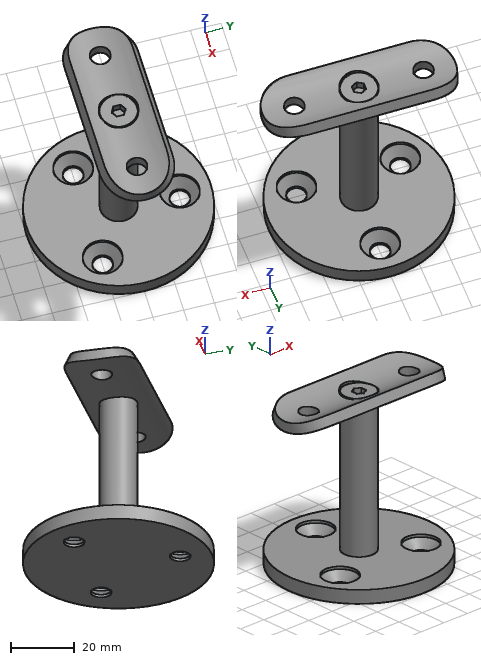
import cadquery as cq
import math

base_diameter = 60.0
base_thickness = 4.9
screw_circle_radius = 20.0
screw_hole_diameter = 6.5
screw_head_diameter = 12.55
screw_head_lip = 0.95
screw_hole_angles = (90, 210, 330)

total_height = 62.35
saddle_length = 64.0
saddle_width = 24.0
saddle_straight_length = 40.3
saddle_half_angle = 30.0
saddle_thickness = 3.6
rail_hole_spacing = 43.0
rail_hole_diameter = 6.5
half_angle = math.radians(saddle_half_angle)
outer_radius = saddle_width / 2 / math.sin(half_angle)
inner_radius = outer_radius - saddle_thickness
bend_axis_z = total_height + inner_radius * math.cos(half_angle)
saddle_floor_z = bend_axis_z - inner_radius

post_diameter = 12.0

head_diameter = 12.0
head_clearance = 0.25
head_rim_height = 0.5
shank_diameter = 6.0
shank_length = 10.25
socket_across_flats = 4.0
socket_depth = 2.55
cone_top_z = saddle_floor_z - head_clearance
head_top_z = cone_top_z + head_rim_height
cone_height = (head_diameter - shank_diameter) / 2
shank_bottom_z = cone_top_z - cone_height - shank_length


def cylinder(diameter, bottom_z, top_z):
    return cq.Workplane("XY").workplane(offset=bottom_z).circle(diameter / 2).extrude(top_z - bottom_z)


def countersink(large_diameter, small_diameter, top_z):
    """90 degree cone, narrowing downwards from top_z."""
    depth = (large_diameter - small_diameter) / 2
    cone = cq.Solid.makeCone(small_diameter / 2, large_diameter / 2, depth, pnt=cq.Vector(0, 0, top_z - depth))
    return cq.Workplane(obj=cone)


def bend_cylinder(radius):
    """Cylinder about the bend axis of the saddle."""
    return (
        cq.Workplane("YZ", origin=(-saddle_length, 0, 0))
        .center(0, bend_axis_z)
        .circle(radius)
        .extrude(2 * saddle_length)
    )


def saddle_outline(depth):
    """Rounded outline at a depth below the bend axis; its sides all point at that axis."""
    half_straight = saddle_straight_length / 2
    end_reach = (saddle_length - saddle_straight_length) / 2
    half_width = depth * math.tan(half_angle)
    z = bend_axis_z - depth
    right_end = cq.Edge.makeEllipse(
        end_reach, half_width, cq.Vector(half_straight, 0, z), angle1=-90, angle2=90
    )
    left_end = cq.Edge.makeEllipse(
        end_reach, half_width, cq.Vector(-half_straight, 0, z), angle1=90, angle2=270
    )
    back = cq.Edge.makeLine(right_end.endPoint(), left_end.startPoint())
    front = cq.Edge.makeLine(left_end.endPoint(), right_end.startPoint())
    return cq.Wire.assembleEdges([right_end, back, left_end, front])


def make_base():
    base = cylinder(base_diameter, 0, base_thickness)
    cutter = cylinder(screw_hole_diameter, 0, base_thickness)
    cutter = cutter.union(cylinder(screw_head_diameter, base_thickness - screw_head_lip, base_thickness))
    cutter = cutter.union(
        countersink(screw_head_diameter, screw_hole_diameter, base_thickness - screw_head_lip)
    )
    cutter = cutter.translate((screw_circle_radius, 0, 0))
    for angle in screw_hole_angles:
        base = base.cut(cutter.rotate((0, 0, 0), (0, 0, 1), angle))
    return base


def make_saddle():
    wedge = cq.Solid.makeLoft([saddle_outline(outer_radius), saddle_outline(inner_radius / 2)], True)
    strip = bend_cylinder(outer_radius).cut(bend_cylinder(inner_radius))
    saddle = strip.intersect(cq.Workplane(obj=wedge))
    for x in (-rail_hole_spacing / 2, rail_hole_spacing / 2):
        saddle = saddle.cut(cylinder(rail_hole_diameter, 0, bend_axis_z).translate((x, 0, 0)))
    recess_diameter = head_diameter + 2 * head_clearance
    saddle = saddle.cut(cylinder(shank_diameter, 0, bend_axis_z))
    saddle = saddle.cut(countersink(recess_diameter, shank_diameter, saddle_floor_z))
    return saddle.cut(cylinder(recess_diameter, saddle_floor_z, bend_axis_z))


def make_post():
    post = cylinder(post_diameter, base_thickness, saddle_floor_z)
    post = post.cut(bend_cylinder(outer_radius))
    return post.cut(cylinder(shank_diameter, shank_bottom_z, saddle_floor_z))


def make_screw():
    screw = countersink(head_diameter, shank_diameter, cone_top_z)
    screw = screw.union(cylinder(head_diameter, cone_top_z, head_top_z))
    screw = screw.union(cylinder(shank_diameter, shank_bottom_z, cone_top_z - cone_height))
    socket = (
        cq.Workplane("XY")
        .workplane(offset=head_top_z - socket_depth)
        .polygon(6, socket_across_flats / math.cos(math.pi / 6))
        .extrude(socket_depth)
        .rotate((0, 0, 0), (0, 0, 1), 90)
    )
    return screw.cut(socket)


base = make_base()
post = make_post()
saddle = make_saddle()
screw = make_screw()

result = cq.Compound.makeCompound([base.val(), post.val(), saddle.val(), screw.val()])